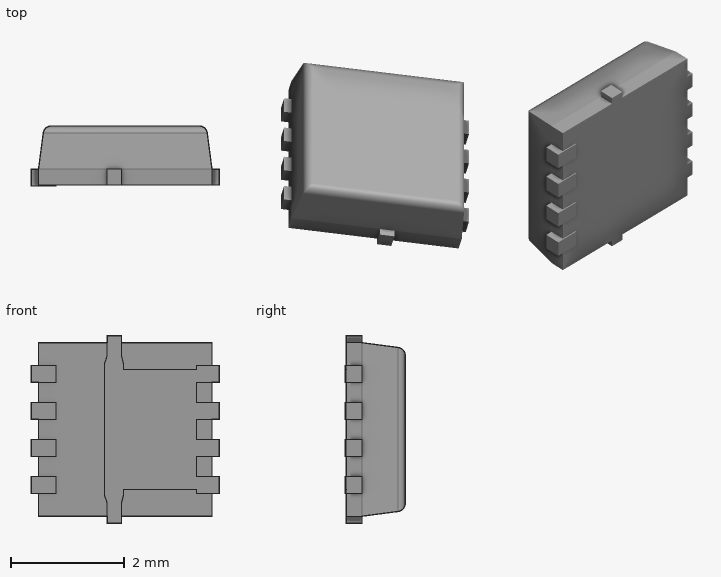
import cadquery as cq


body_size = 3.05
body_height = 1.04
draft_angle = 7.5
lid_edge_radius = 0.15

frame_thickness = 0.28
lead_standoff = 0.02
overall_length = 3.31
overall_width = 3.30
lead_count = 4
lead_pitch = 0.65
lead_width = 0.30
lead_length = 0.435

pad_left = -0.367
pad_right = 1.247
pad_half_width = 1.054
neck_right = -0.03
tie_bar_left = -0.32
tie_bar_right = -0.065
flare_start = 1.15
flare_end = 1.285

half_length = overall_length / 2
half_width = overall_width / 2
lead_centers = [(i - (lead_count - 1) / 2) * lead_pitch for i in range(lead_count)]


def block(x_min, x_max, y_min, y_max, z_size, z_center=0.0):
    """Box between two X and two Y limits, centered in Z."""
    size_x = x_max - x_min
    size_y = y_max - y_min
    center = ((x_min + x_max) / 2, (y_min + y_max) / 2, z_center)
    return cq.Workplane("XY").box(size_x, size_y, z_size).translate(center)


def make_lead(z_center):
    """Separate lead on the -X side."""
    return block(-half_length, -half_length + lead_length,
                 -lead_standoff, frame_thickness, lead_width, z_center)


def make_drain_pad():
    """Pad with a tie bar at each Z end and fingers on the +X side."""
    upper_half = [
        (pad_left, 0),
        (pad_left, flare_start),
        (tie_bar_left, flare_end),
        (tie_bar_left, half_width),
        (tie_bar_right, half_width),
        (tie_bar_right, flare_end),
        (neck_right, flare_start),
        (neck_right, pad_half_width),
        (pad_right, pad_half_width),
        (pad_right, 0),
    ]
    upper = cq.Workplane("XZ").polyline(upper_half).close().extrude(-frame_thickness)
    pad = upper.union(upper.mirror("XY"))
    for z_center in lead_centers:
        finger = block(pad_right, half_length, 0, frame_thickness, lead_width, z_center)
        pad = pad.union(finger)
    return pad.clean()


def make_housing(inserts):
    """Moulded block with drafted upper sides, pocketed for the metal inserts."""
    base = cq.Workplane("XZ").rect(body_size, body_size).extrude(-frame_thickness)
    lid_height = body_height - frame_thickness
    lid = (
        cq.Workplane("XZ", origin=(0, frame_thickness, 0))
        .rect(body_size, body_size)
        .extrude(-lid_height, taper=draft_angle)
        .faces(">Y").edges().fillet(lid_edge_radius)
    )
    housing = base.union(lid)
    for insert in inserts:
        housing = housing.cut(insert)
    return housing


leads = [make_lead(z_center) for z_center in lead_centers]
drain_pad = make_drain_pad()
housing = make_housing([*leads, drain_pad])

result = cq.Compound.makeCompound([
    housing.val(),
    drain_pad.val(),
    *[lead.val() for lead in leads],
])